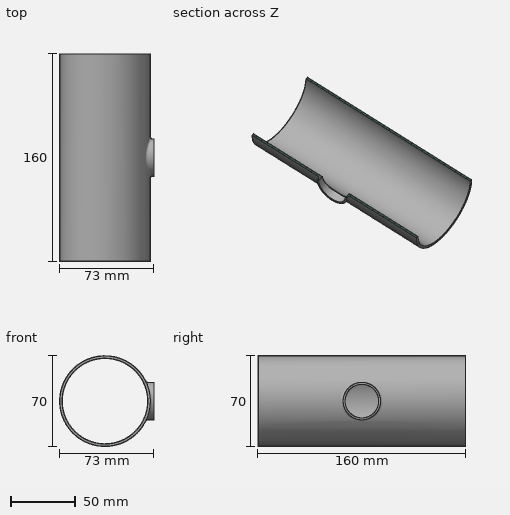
import cadquery as cq

pipe_length = 160.0
pipe_diameter = 70.0
pipe_bore = 66.0

branch_diameter = 29.0
branch_bore = 26.0
branch_reach = 38.0
weld_radius = 1.6


def pipe_cylinder(diameter):
    return cq.Workplane("XZ").circle(diameter / 2).extrude(pipe_length / 2, both=True)


def branch_cylinder(diameter):
    return cq.Workplane("YZ").circle(diameter / 2).extrude(branch_reach)


body = pipe_cylinder(pipe_diameter).union(branch_cylinder(branch_diameter))
junction_box = cq.selectors.BoxSelector(
    (0, -branch_diameter, -branch_diameter),
    ((pipe_diameter / 2 + branch_reach) / 2, branch_diameter, branch_diameter),
    boundingbox=True,
)
body = body.edges(junction_box).edges("not %LINE").fillet(weld_radius)

result = body.cut(pipe_cylinder(pipe_bore)).cut(branch_cylinder(branch_bore))